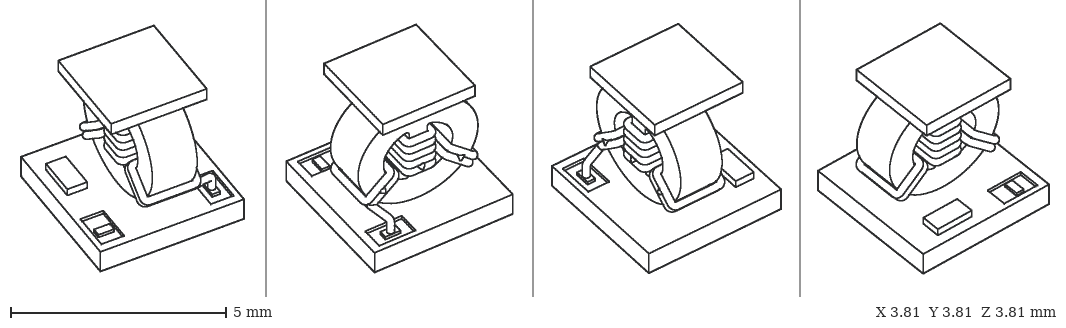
import cadquery as cq
import math

BOARD_SIZE = 3.81
BOARD_T = 0.61
OVERALL_H = 3.81

RECESS_W = 1.005
RECESS_D = 0.605
RECESS_DEPTH = 0.09
RECESS_X = 1.177
RECESS_Y = 1.45
BLOCK_L = 0.42
BLOCK_W = 0.217
BLOCK_H = 0.08
FRONT_BLOCK_X = 1.242
FRONT_BLOCK_Y = -1.44

LAND_W = 0.765
LAND_D = 0.605
LAND_XS = (-1.288, -0.13)
LAND_Y = -1.35
MARK_R = 0.217
MARK_X = -0.103
MARK_TOP_Y = 1.63
MARK_BOTTOM_Y = 0.952

CHIP_L = 1.025
CHIP_D = 0.525
CHIP_H = 0.19
CHIP_X = -0.71
CHIP_Y = -1.355
CHIP_MIDDLE_L = 0.55
CHIP_MIDDLE_X = -0.715

COVER_SIZE = 2.537
COVER_T = 0.33
COVER_BOTTOM = OVERALL_H - COVER_T

CORE_W = 3.307
CORE_H = COVER_BOTTOM - BOARD_T
CORE_T = 1.19
CORE_Y = 0.205
CORE_Z = BOARD_T + CORE_H / 2
OPENING_W = 1.905
OPENING_H = 1.51
OPENING_FILLET = 0.088
POST_W = 0.495

WIRE_R = 0.095
BEND_R = 0.105
POST_PITCH = 0.23
POST_TURNS_RISE = 0.008
POST_TURNS_Z = CORE_Z + POST_TURNS_RISE
SINGLE_TURNS = (0, 1, 2)
POST_PAIR_Z = POST_TURNS_Z - 1.5 * POST_PITCH
SIDE_PITCH = 0.205
SIDE_SPAN = 0.712
SIDE_X = 1.085
SIDE_Z = 1.455
SIDE_TILT = 40.0

LEAD_X = 1.175
LEAD_Y = RECESS_Y
LEAD_KNEE_Z = 0.952


def centred_box(width, depth, height, x, y, bottom):
    return (
        cq.Workplane("XY")
        .box(width, depth, height, centered=(True, True, False))
        .translate((x, y, bottom))
    )


def outline_flush(body, inlay):
    """Keep the inlay's outline as edges on the body's surface, without changing the shape."""
    return body.cut(inlay, clean=False).union(inlay, clean=False)


def make_mark():
    arc_start_y = MARK_TOP_Y - MARK_R
    return (
        cq.Workplane("XY", origin=(MARK_X, 0, BOARD_T - RECESS_DEPTH))
        .moveTo(-MARK_R, MARK_BOTTOM_Y)
        .lineTo(MARK_R, MARK_BOTTOM_Y)
        .lineTo(MARK_R, arc_start_y)
        .threePointArc((0, MARK_TOP_Y), (-MARK_R, arc_start_y))
        .close()
        .extrude(RECESS_DEPTH)
    )


def make_board():
    board = centred_box(BOARD_SIZE, BOARD_SIZE, BOARD_T, 0, 0, 0)
    floor = BOARD_T - RECESS_DEPTH
    for side in (-1, 1):
        board = board.cut(centred_box(RECESS_W, RECESS_D, RECESS_DEPTH, RECESS_X, side * RECESS_Y, floor))
    board = board.union(centred_box(BLOCK_L, BLOCK_W, BLOCK_H, RECESS_X, RECESS_Y, floor))
    board = board.union(centred_box(BLOCK_W, BLOCK_L, BLOCK_H, FRONT_BLOCK_X, FRONT_BLOCK_Y, floor))
    for land_x in LAND_XS:
        board = outline_flush(board, centred_box(LAND_W, LAND_D, RECESS_DEPTH, land_x, LAND_Y, floor))
    return outline_flush(board, make_mark())


def make_chip():
    chip = centred_box(CHIP_L, CHIP_D, CHIP_H, CHIP_X, CHIP_Y, BOARD_T)
    middle = centred_box(CHIP_MIDDLE_L, CHIP_D, CHIP_H, CHIP_MIDDLE_X, CHIP_Y, BOARD_T)
    return outline_flush(chip, middle)


def elliptical_disc(width, height):
    """A disc as thick as the core, with its axis along Y."""
    return cq.Workplane("XZ", origin=(0, CORE_T / 2, 0)).ellipse(width / 2, height / 2).extrude(CORE_T)


def make_core():
    beside_post_x = (OPENING_W + POST_W) / 2
    beside_post = cq.Workplane("XY").box(OPENING_W, CORE_T, OPENING_H).translate((beside_post_x, 0, 0))
    opening = elliptical_disc(OPENING_W, OPENING_H).intersect(beside_post)
    opening = opening.faces("<X").edges("<Z or >Z").fillet(OPENING_FILLET)
    core = elliptical_disc(CORE_W, CORE_H).cut(opening).cut(opening.mirror("YZ"))
    return core.translate((0, CORE_Y, CORE_Z))


def make_turn(span):
    """One closed turn in the XY plane, around a section of the core that is `span` wide."""
    x_in, y_in = span / 2, CORE_T / 2
    x_out, y_out = x_in + BEND_R, y_in + BEND_R
    path = (
        cq.Workplane("XY")
        .moveTo(-x_in, -y_out)
        .lineTo(x_in, -y_out)
        .radiusArc((x_out, -y_in), -BEND_R)
        .lineTo(x_out, y_in)
        .radiusArc((x_in, y_out), -BEND_R)
        .lineTo(-x_in, y_out)
        .radiusArc((-x_out, y_in), -BEND_R)
        .lineTo(-x_out, -y_in)
        .radiusArc((-x_in, -y_out), -BEND_R)
        .close()
    )
    return cq.Workplane("YZ", origin=(-x_in, -y_out, 0)).circle(WIRE_R).sweep(path)


def make_pair(span, pitch):
    """Two turns, one above the other, joined by a short crossover between their rear legs."""
    turn = make_turn(span)
    crossover = (
        cq.Workplane("XY", origin=(0, CORE_T / 2 + BEND_R, -pitch / 2))
        .circle(WIRE_R)
        .extrude(pitch)
    )
    return (
        turn.translate((0, 0, pitch / 2))
        .union(turn.translate((0, 0, -pitch / 2)))
        .union(crossover)
    )


def make_side_coil(side):
    """A pair of turns around the ring, tilted down and outward (side is -1 left, 1 right)."""
    return (
        make_pair(SIDE_SPAN, SIDE_PITCH)
        .rotate((0, 0, 0), (0, 1, 0), side * SIDE_TILT)
        .translate((side * SIDE_X, CORE_Y, SIDE_Z))
    )


def make_lead():
    """Wire from the rear contact block up to the outer rear corner of the right coil's lower turn."""
    tilt = math.radians(SIDE_TILT)
    reach = SIDE_SPAN / 2 + BEND_R
    foot = cq.Vector(LEAD_X, LEAD_Y, BOARD_T - RECESS_DEPTH + BLOCK_H)
    knee = cq.Vector(LEAD_X, LEAD_Y, LEAD_KNEE_Z)
    coil_corner = cq.Vector(
        SIDE_X + reach * math.cos(tilt) - SIDE_PITCH / 2 * math.sin(tilt),
        CORE_Y + CORE_T / 2 + BEND_R / 2,
        SIDE_Z - reach * math.sin(tilt) - SIDE_PITCH / 2 * math.cos(tilt),
    )
    down = (foot - knee).normalized()
    along = (coil_corner - knee).normalized()
    half_angle = down.getAngle(along) / 2
    bend_start = knee + down * (BEND_R / math.tan(half_angle))
    bend_end = knee + along * (BEND_R / math.tan(half_angle))
    bend_mid = knee + (down + along).normalized() * (BEND_R / math.sin(half_angle) - BEND_R)
    path = cq.Wire.assembleEdges([
        cq.Edge.makeLine(foot, bend_start),
        cq.Edge.makeThreePointArc(bend_start, bend_mid, bend_end),
        cq.Edge.makeLine(bend_end, coil_corner),
    ])
    return cq.Workplane("XY", origin=foot.toTuple()).circle(WIRE_R).sweep(path)


board = make_board()
chip = make_chip()
cover = centred_box(COVER_SIZE, COVER_SIZE, COVER_T, 0, 0, COVER_BOTTOM)
core = make_core()
single_turns = [
    make_turn(POST_W).translate((0, CORE_Y, POST_TURNS_Z + row * POST_PITCH)) for row in SINGLE_TURNS
]
post_pair = make_pair(POST_W, POST_PITCH).translate((0, CORE_Y, POST_PAIR_Z))
left_coil = make_side_coil(-1)
right_coil = make_side_coil(1).union(make_lead())

result = cq.Compound.makeCompound([
    board.val(),
    chip.val(),
    cover.val(),
    core.val(),
    *[turn.val() for turn in single_turns],
    post_pair.val(),
    left_coil.val(),
    right_coil.val(),
])